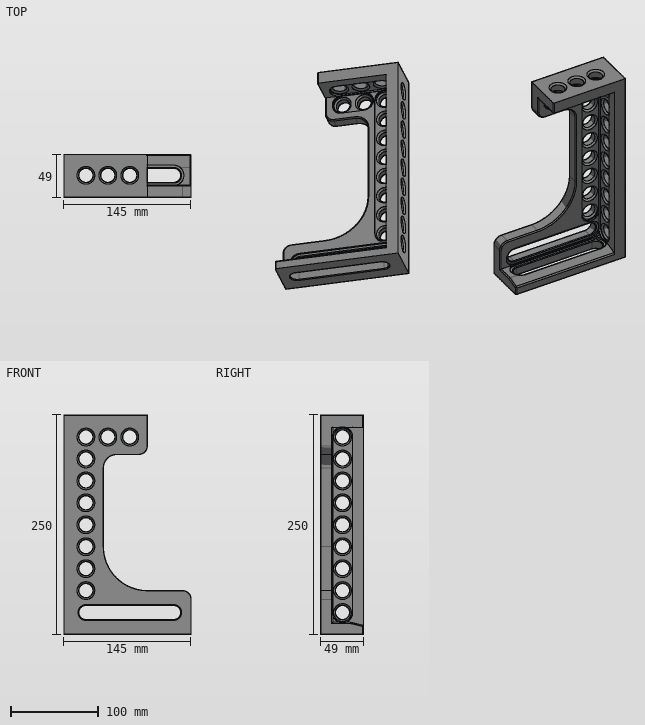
import cadquery as cq
height = 250
depth = 49.0
foot_length = 145
arm_length = 95

wall = 14.0
column_width = 45
arm_width = 45
foot_width = 50
outer_radius = 10
arm_inner_radius = 15
foot_inner_radius = 50
edge_chamfer = 1.38

taper_start = 33.8
rear_thickness = 10.2

pitch = 25
bore_diameter = 16.0
sink_depth = 2.12
slot_length = 4 * pitch
slot_chamfer = 1.0
recess_width = 23.2
recessed_wall = 11.8

X = cq.Vector(1, 0, 0)
Y = cq.Vector(0, 1, 0)
Z = cq.Vector(0, 0, 1)


def front_wall():
    """C-shaped wall with rounded corners, chamfered along its rear edge."""
    arm_underside = height - arm_width
    profile = [
        (0, 0),
        (foot_length, 0),
        (foot_length, foot_width),
        (column_width, foot_width),
        (column_width, arm_underside),
        (arm_length, arm_underside),
        (arm_length, height),
        (0, height),
    ]
    rounded_corners = [
        (foot_length, foot_width, outer_radius),
        (column_width, foot_width, foot_inner_radius),
        (column_width, arm_underside, arm_inner_radius),
        (arm_length, arm_underside, outer_radius),
    ]
    body = cq.Workplane("XZ").polyline(profile).close().extrude(-wall)
    for x, z, radius in rounded_corners:
        corner = cq.NearestToPointSelector((x, wall / 2, z))
        body = body.edges(corner).fillet(radius)
    free_edge = body.faces(">Y").edges("not(<X or <Z or >Z)")
    return free_edge.chamfer(edge_chamfer)


def base_plate():
    """Bottom plate sloping down to the rear, with its free upper edges chamfered."""
    profile = [(0, 0), (depth, 0), (depth, rear_thickness), (taper_start, wall), (0, wall)]
    plate = cq.Workplane("YZ").polyline(profile).close().extrude(foot_length)
    upper_edges = plate.faces(">X or >Y").edges("not(<Z or <X or <Y or |Z)")
    plate = upper_edges.chamfer(edge_chamfer)
    return plate.edges("|Z and >X and >Y").chamfer(edge_chamfer)


def left_wall():
    """Full-height plate behind the column of the front wall."""
    return cq.Workplane("XY").box(wall, depth, height, centered=False)


def top_plate():
    """Plate over the arm, with its free rear corner chamfered."""
    plate = cq.Workplane("XY").box(arm_length, depth, wall, centered=False)
    plate = plate.translate(Z * (height - wall))
    return plate.edges("|Z and >X and >Y").chamfer(edge_chamfer)


def recess(start, along, inward, length):
    """Shallow round-ended pocket on the inner side of a wall."""
    floor = cq.Plane(origin=start + inward * recessed_wall, xDir=along, normal=inward)
    outline = cq.Workplane(floor).center(length / 2, 0)
    return outline.slot2D(length + recess_width, recess_width).extrude(wall - recessed_wall)


def slot_cutter(start, along, inward):
    """Through slot chamfered on both sides, with a recess around its inner side."""

    def slot(offset, direction, width, distance, taper=0):
        face = cq.Plane(origin=start + inward * offset, xDir=along, normal=direction)
        middle = slot_length / 2
        outline = cq.Workplane(face).center(middle, 0).slot2D(slot_length + width, width)
        return outline.extrude(distance, taper=taper)

    mouth_width = bore_diameter + 2 * slot_chamfer
    cutter = slot(0, inward, bore_diameter, recessed_wall)
    cutter = cutter.union(slot(0, inward, mouth_width, slot_chamfer, 45))
    cutter = cutter.union(slot(recessed_wall, inward * -1, mouth_width, slot_chamfer, 45))
    return cutter.union(recess(start, along, inward, slot_length))


def hole_cutter(center, inward):
    """Through hole countersunk on both sides of the recessed wall."""
    bore_radius = bore_diameter / 2
    sink_radius = bore_radius + sink_depth
    inner_center = center + inward * recessed_wall
    bore = cq.Solid.makeCylinder(bore_radius, recessed_wall, center, inward)
    outer_sink = cq.Solid.makeCone(sink_radius, bore_radius, sink_depth, center, inward)
    inner_sink = cq.Solid.makeCone(sink_radius, bore_radius, sink_depth, inner_center, inward * -1)
    return bore.fuse(outer_sink, inner_sink)


def cut_hole_row(body, start, along, inward, count):
    """Cut evenly spaced holes and the recess that joins them inside the bracket."""
    body = body.cut(recess(start, along, inward, (count - 1) * pitch))
    for i in range(count):
        body = body.cut(hole_cutter(start + along * (i * pitch), inward))
    return body


bracket = front_wall().union(base_plate()).union(left_wall()).union(top_plate())

left_row_start = (Y + Z) * pitch
column_row_start = X * pitch + Z * (2 * pitch)
top_row_start = (X + Y) * pitch + Z * height
arm_row_start = X * (2 * pitch) + Z * (height - pitch)
hole_rows = [
    (left_row_start, Z, X, 9),
    (column_row_start, Z, Y, 8),
    (top_row_start, X, Z * -1, 3),
    (arm_row_start, X, Y, 2),
]
for row in hole_rows:
    bracket = cut_hole_row(bracket, *row)

bracket = bracket.cut(slot_cutter((X + Z) * pitch, X, Y))
bracket = bracket.cut(slot_cutter((X + Y) * pitch, X, Z))

result = bracket